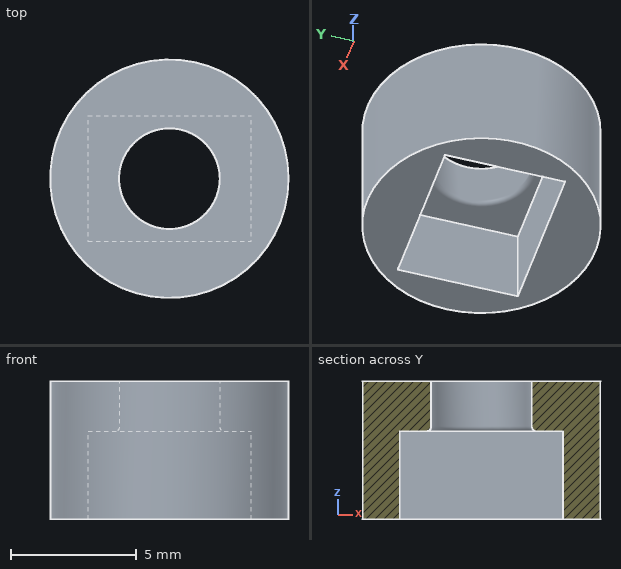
import cadquery as cq

outer_diameter = 9.5
height = 5.5

hole_diameter = 4.0
top_wall = 2.0
rim_radius = 0.2

pocket_length = 6.5
pocket_width = 5.0
pocket_depth = height - top_wall


def make_body():
    return cq.Workplane("XY").circle(outer_diameter / 2).extrude(height)


def cut_pocket(body):
    pocket = cq.Workplane("XY").rect(pocket_length, pocket_width).extrude(pocket_depth)
    return body.cut(pocket)


def cut_screw_hole(body):
    hole = cq.Workplane("XY").circle(hole_diameter / 2).extrude(height)
    return body.cut(hole)


def round_hole_rim(body):
    pocket_ceiling = (0, 0, pocket_depth)
    rim = cq.selectors.NearestToPointSelector(pocket_ceiling)
    return body.edges("%CIRCLE").edges(rim).fillet(rim_radius)


result = round_hole_rim(cut_screw_hole(cut_pocket(make_body())))